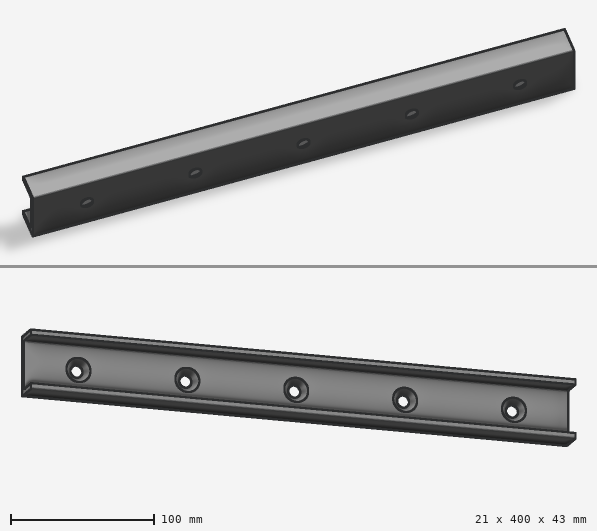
import cadquery as cq

length = 400.0
width = 21.0
height = 43.0
web_thickness = 5.0
flange_thickness = 4.0
root_fillet = 1.0
outer_fillet = 1.0

hole_count = 5
hole_pitch = length / hole_count
hole_diameter = 9.0
countersink_diameter = 17.5
countersink_angle = 90

web_inner_x = width / 2 - web_thickness
channel_height = height - 2 * flange_thickness


def channel_body():
    """Extruded U-section, open toward -X, with rounded outer edges and filleted inner roots."""
    body = cq.Workplane("XY").box(width, length, height).edges("|Y").fillet(outer_fillet)
    channel = (
        cq.Workplane("XY")
        .box(width - web_thickness, length, channel_height)
        .translate((-web_thickness / 2, 0, 0))
        .edges("|Y and >X")
        .fillet(root_fillet)
    )
    return body.cut(channel)


def drill_mounting_holes(body):
    """Evenly spaced holes through the web, countersunk from inside the channel."""
    web_face = cq.Plane(origin=(web_inner_x, 0, 0), xDir=(0, 1, 0), normal=(-1, 0, 0))
    return (
        body.copyWorkplane(cq.Workplane(web_face))
        .rarray(hole_pitch, 4, hole_count, 1)
        .cskHole(hole_diameter, countersink_diameter, countersink_angle, depth=web_thickness)
    )


result = drill_mounting_holes(channel_body())